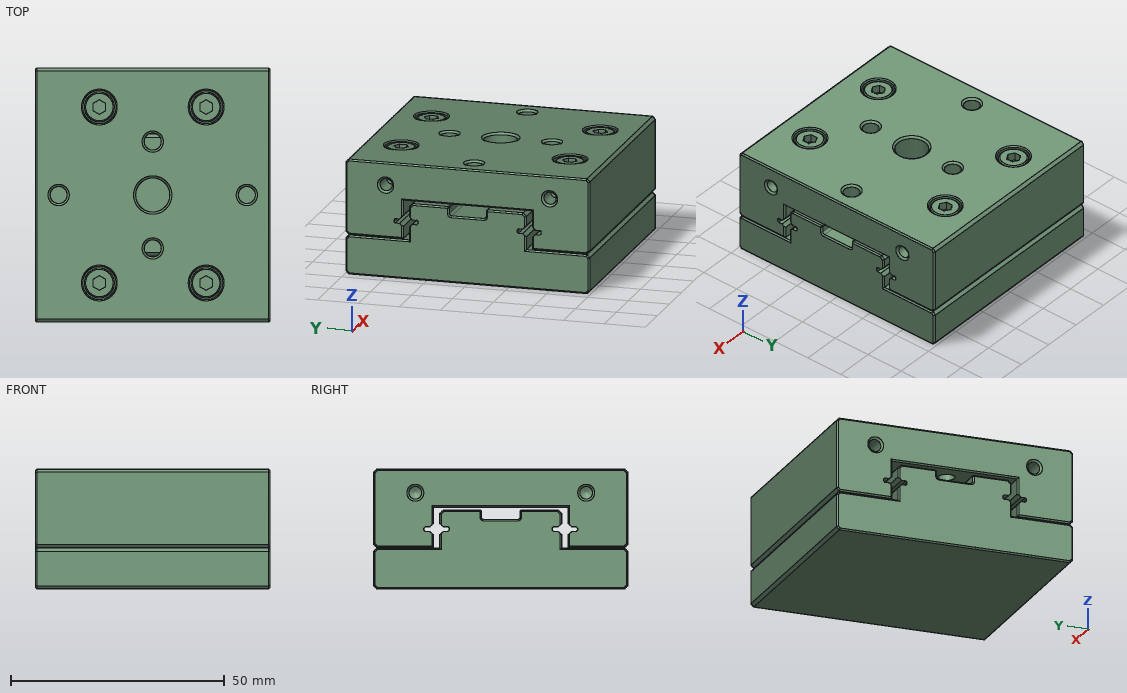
import cadquery as cq
import math

LENGTH_X = 55.0
WIDTH_Y = 59.5
HEIGHT_Z = 28.0
LONG_CHAMFER = 0.7
END_CHAMFER = 0.35
HOLE_CHAMFER = 0.5

BASE_PLATE_TOP = 9.5
RAIL_TOP = 18.45
RAIL_HALF_WIDTH = 14.3
RAIL_CHAMFER = 0.85
RAIL_SLOT_HALF_WIDTH = 4.5
RAIL_SLOT_FLOOR = 16.25
RAIL_SLOT_FILLET = 0.6
RAIL_SLOT_MOUTH_CHAMFER = 0.25

CARRIAGE_BOTTOM = 9.7
CHANNEL_HALF_WIDTH = 15.75
CHANNEL_CEILING = 19.1

GROOVE_Z = 14.0
GROOVE_MOUTH_HALF_HEIGHT = 1.3
GROOVE_NECK_DEPTH = 0.85
RELIEF_HALF_HEIGHT = 0.55
RELIEF_DEPTH = 2.2
RELIEF_CORNER = 0.3

CENTRE_HOLE_DIAMETER = 8.0
SMALL_HOLE_DIAMETER = 4.0
SMALL_HOLE_X = 22.0
SMALL_HOLE_Y = 12.5

END_HOLE_DIAMETER = 3.0
END_HOLE_DEPTH = 5.95
END_HOLE_Y = 20.0
END_HOLE_Z = 22.5
DRILL_TIP_ANGLE = 118.0

SCREW_X = 12.5
SCREW_Y = 20.6
COUNTERBORE_DIAMETER = 7.8
COUNTERBORE_CHAMFER = 0.3
COUNTERBORE_DEPTH = 4.15
HEAD_DIAMETER = 7.0
HEAD_CHAMFER = 0.3
HEAD_RECESS = 0.3
SOCKET_WIDTH = 3.0
SOCKET_DEPTH = 2.0


def block(half_width, bottom, top):
    """Full-length block, symmetric in Y, between two heights."""
    return cq.Workplane("XY").workplane(offset=bottom).rect(LENGTH_X, 2 * half_width).extrude(top - bottom)


def chamfer_ends(body):
    """Break every edge of the two X end faces."""
    return body.faces("<X or >X").edges().chamfer(END_CHAMFER)


def groove(wall_y, direction):
    """Tapered groove with a relief slot, cut into the wall at wall_y towards +Y or -Y."""
    neck_y = wall_y + direction * GROOVE_NECK_DEPTH
    end_y = wall_y + direction * RELIEF_DEPTH
    corner_y = end_y - direction * RELIEF_CORNER
    tip_half_height = RELIEF_HALF_HEIGHT - RELIEF_CORNER
    upper = [
        (wall_y, GROOVE_MOUTH_HALF_HEIGHT),
        (neck_y, RELIEF_HALF_HEIGHT),
        (corner_y, RELIEF_HALF_HEIGHT),
        (end_y, tip_half_height),
    ]
    lower = [(y, -z) for y, z in reversed(upper)]
    profile = cq.Workplane("YZ").polyline(upper + lower).close().extrude(LENGTH_X / 2, both=True)
    return profile.translate((0, 0, GROOVE_Z))


def cut_grooves(body, wall_half_width, depth_sign):
    """Groove both guide walls; depth_sign is +1 to cut away from the centre plane."""
    for side in (-1, 1):
        body = body.cut(groove(side * wall_half_width, side * depth_sign))
    return body


def chamfered_hole(diameter, depth, chamfer):
    """Cutter for a hole going down from Z = 0, widened by a chamfer at its mouth."""
    bore = cq.Workplane("XY").circle(diameter / 2).extrude(-depth)
    mouth = cq.Solid.makeCone(diameter / 2 + chamfer, diameter / 2, chamfer, dir=cq.Vector(0, 0, -1))
    return bore.union(cq.Workplane(mouth))


def cut_top_holes(carriage):
    """Centre hole and four small holes, through the carriage roof."""
    roof = HEIGHT_Z - CHANNEL_CEILING
    holes = [(0, 0, CENTRE_HOLE_DIAMETER)]
    for side in (-1, 1):
        holes.append((side * SMALL_HOLE_X, 0, SMALL_HOLE_DIAMETER))
        holes.append((0, side * SMALL_HOLE_Y, SMALL_HOLE_DIAMETER))
    for x, y, diameter in holes:
        cutter = chamfered_hole(diameter, roof, HOLE_CHAMFER)
        carriage = carriage.cut(cutter.translate((x, y, HEIGHT_Z)))
    return carriage


def cut_end_holes(carriage):
    """Blind drilled holes in both X end faces."""
    radius = END_HOLE_DIAMETER / 2
    tip_depth = radius / math.tan(math.radians(DRILL_TIP_ANGLE / 2))
    tip = cq.Solid.makeCone(
        radius, 0, tip_depth, pnt=cq.Vector(0, 0, -END_HOLE_DEPTH), dir=cq.Vector(0, 0, -1)
    )
    drill = chamfered_hole(END_HOLE_DIAMETER, END_HOLE_DEPTH, HOLE_CHAMFER).union(cq.Workplane(tip))
    for end in (-1, 1):
        sideways = drill.rotate((0, 0, 0), (0, 1, 0), end * 90)
        for side in (-1, 1):
            spot = (end * LENGTH_X / 2, side * END_HOLE_Y, END_HOLE_Z)
            carriage = carriage.cut(sideways.translate(spot))
    return carriage


def screw_head():
    """Socket screw head standing on the counterbore floor, with Z = 0 at the carriage top."""
    head = (
        cq.Workplane("XY")
        .workplane(offset=-COUNTERBORE_DEPTH)
        .circle(HEAD_DIAMETER / 2)
        .extrude(COUNTERBORE_DEPTH - HEAD_RECESS)
        .faces(">Z")
        .chamfer(HEAD_CHAMFER)
    )
    socket = (
        cq.Workplane("XY")
        .polygon(6, SOCKET_WIDTH, circumscribed=True)
        .extrude(-HEAD_RECESS - SOCKET_DEPTH)
    )
    return head.cut(socket)


def add_screws(carriage):
    """Four counterbores, each holding a socket screw head."""
    counterbore = chamfered_hole(COUNTERBORE_DIAMETER, COUNTERBORE_DEPTH, COUNTERBORE_CHAMFER)
    head = screw_head()
    for x in (-SCREW_X, SCREW_X):
        for y in (-SCREW_Y, SCREW_Y):
            spot = (x, y, HEIGHT_Z)
            carriage = carriage.cut(counterbore.translate(spot)).union(head.translate(spot))
    return carriage


def make_base():
    plate = block(WIDTH_Y / 2, 0, BASE_PLATE_TOP).edges("|X").chamfer(LONG_CHAMFER)
    rail = block(RAIL_HALF_WIDTH, BASE_PLATE_TOP, RAIL_TOP).edges("|X and >Z").chamfer(RAIL_CHAMFER)
    slot = block(RAIL_SLOT_HALF_WIDTH, RAIL_SLOT_FLOOR, RAIL_TOP).edges("|X and <Z").fillet(RAIL_SLOT_FILLET)
    rail = rail.cut(slot)
    mouth_edges = rail.edges("|X and >Z").sort(lambda edge: abs(edge.Center().y))[:2]
    rail = mouth_edges.chamfer(RAIL_SLOT_MOUTH_CHAMFER)
    base = chamfer_ends(plate.union(rail))
    return cut_grooves(base, RAIL_HALF_WIDTH, -1)


def make_carriage():
    carriage = block(WIDTH_Y / 2, CARRIAGE_BOTTOM, HEIGHT_Z).edges("|X").chamfer(LONG_CHAMFER)
    channel = block(CHANNEL_HALF_WIDTH, CARRIAGE_BOTTOM, CHANNEL_CEILING)
    carriage = chamfer_ends(carriage.cut(channel))
    carriage = cut_grooves(carriage, CHANNEL_HALF_WIDTH, 1)
    carriage = cut_top_holes(carriage)
    carriage = cut_end_holes(carriage)
    return add_screws(carriage)


base = make_base()
carriage = make_carriage()
result = cq.Compound.makeCompound([base.val(), carriage.val()])